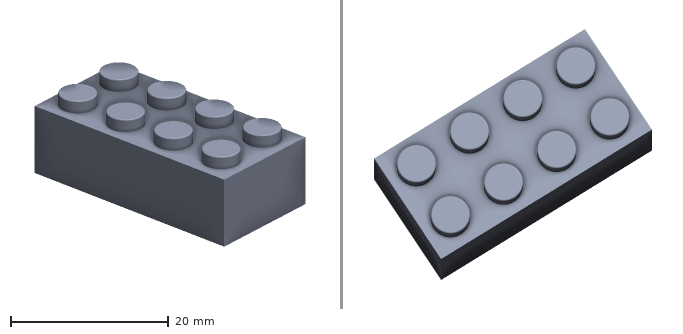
import cadquery as cq

length = 31.8
width = 15.8
total_height = 11.3

stud_height = 1.75
stud_diameter = 5.0
stud_pitch = 8.0
stud_columns = 4
stud_rows = 2
stud_edge_radius = 0.2

body_height = total_height - stud_height


def make_body():
    """Plain block standing on Z = 0, centred on the Z axis."""
    return cq.Workplane("XY").box(length, width, body_height, centered=(True, True, False))


def make_studs():
    """Centred grid of round studs with a rounded top edge."""
    return (
        cq.Workplane("XY")
        .workplane(offset=body_height)
        .rarray(stud_pitch, stud_pitch, stud_columns, stud_rows)
        .circle(stud_diameter / 2)
        .extrude(stud_height)
        .faces(">Z")
        .edges()
        .fillet(stud_edge_radius)
    )


result = make_body().union(make_studs())